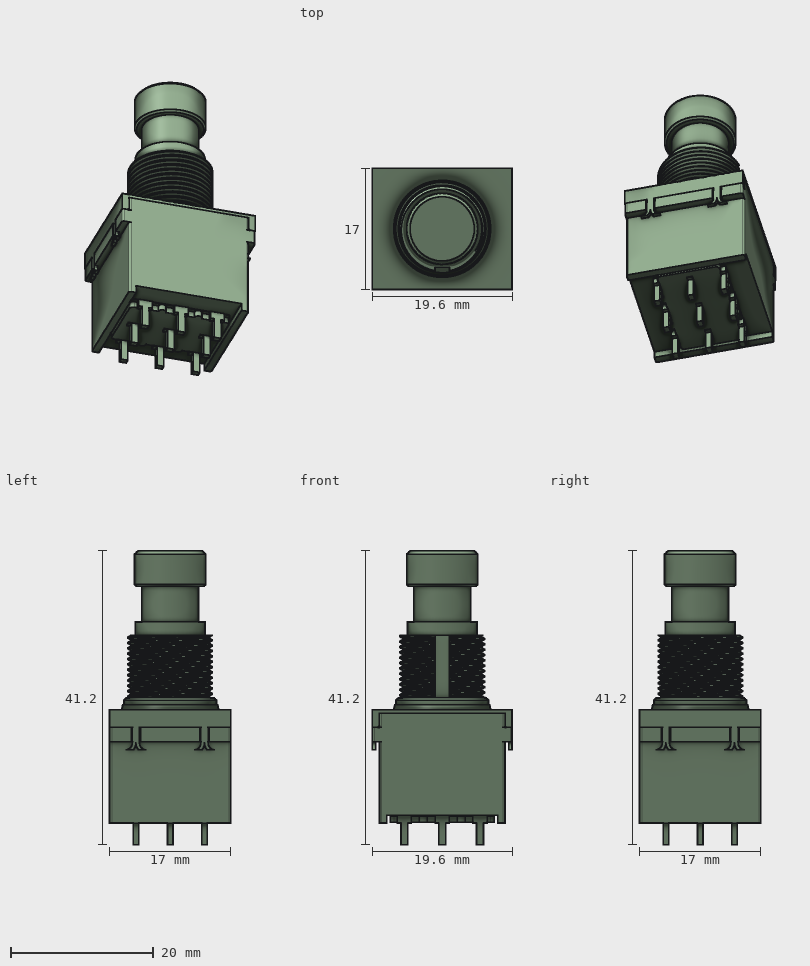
import cadquery as cq
import math


cover_length = 19.6
cover_width = 17.0
plate_thickness = 0.5
flap_thickness = 1.0
flap_bottom = -2.5
flap_relief = 0.2
strap_width = 1.0
strap_thickness = 0.5
strap_y = 4.8
fork_top = -4.65
fork_height = 0.99
prong_outer_radius = 1.0
prong_inner_radius = prong_outer_radius + strap_width / 2

flange_base_diameter = 13.6
flange_taper_diameter = 13.3
flange_diameter = 13.0
flange_top_diameter = 12.28
flange_taper_top = 0.7
flange_straight_top = 1.3
flange_top = 1.65
thread_top = 10.45
thread_diameter = 11.9
thread_root_diameter = 11.1
thread_pitch = 0.75
thread_crest = 0.1
thread_root_width = 0.65
thread_embed = 0.1
keyway_width = 2.0
keyway_floor_y = -5.4
collar_diameter = 9.8
collar_top = 12.3
bore_diameter = 8.15

shaft_diameter = 8.0
cap_diameter = 10.0
cap_bottom = 17.25
cap_top = 22.25
cap_chamfer = 0.5
cap_lower_chamfer = 0.3

base_length = cover_length - 2 * flap_thickness
base_width = cover_width
base_top = -plate_thickness
base_bottom = -15.9
base_corner_radius = 0.3
wing_top = flap_bottom
wing_bottom = -4.5
strap_slot_width = 1.3
notch_length = 15.5
notch_top = -14.8

carrier_length = 14.6
carrier_width = 9.0
carrier_bottom = -15.8
carrier_corner_radius = 0.55
rib_diameter = 1.1
plinth_width = 10.2
plinth_height = 0.1
terminal_pitch_x = 5.3
terminal_pitch_y = 4.8
head_width = 2.0
pin_width = 1.0
pin_thickness = 0.8
pin_bottom = -18.95


def block(length, width, bottom, top, x=0.0, y=0.0):
    """Box centred at (x, y), spanning bottom to top in Z."""
    outline = cq.Workplane("XY").workplane(offset=bottom).center(x, y).rect(length, width)
    return outline.extrude(top - bottom)


def revolve_profile(points):
    """Solid of revolution about Z from (radius, z) points."""
    return cq.Workplane("XZ").polyline(points).close().revolve(360, (0, 0), (0, 1))


def make_thread_ridge():
    """Right-hand helical ridge, overrunning the threaded length by one pitch at each end."""
    root_radius = thread_root_diameter / 2 - thread_embed
    crest_radius = thread_diameter / 2
    start = flange_top - thread_pitch
    height = thread_top - flange_top + 2 * thread_pitch
    profile = [
        (root_radius, -thread_root_width / 2),
        (crest_radius, -thread_crest / 2),
        (crest_radius, thread_crest / 2),
        (root_radius, thread_root_width / 2),
    ]
    helices = [
        cq.Wire.makeHelix(thread_pitch, height, radius, cq.Vector(0, 0, start + offset))
        for radius, offset in profile
    ]
    faces = [
        cq.Face.makeRuledSurface(helix, next_helix)
        for helix, next_helix in zip(helices, helices[1:] + helices[:1])
    ]
    for end in (0, 1):
        corners = [helix.positionAt(end) for helix in helices]
        faces.append(cq.Face.makeFromWires(cq.Wire.makePolygon(corners, close=True)))
    return cq.Workplane(obj=cq.Solid.makeSolid(cq.Shell.makeShell(faces)))


def make_threaded_core():
    """Threaded cylinder trimmed flat at the thread top, its lower end buried in the flange."""
    core_bottom = flange_straight_top
    core = cq.Workplane("XY").workplane(offset=-plate_thickness).circle(thread_root_diameter / 2)
    core = core.extrude(collar_top + plate_thickness).union(make_thread_ridge())
    core = core.intersect(block(cover_length, cover_length, core_bottom, thread_top))
    keyway = block(keyway_width, thread_diameter, flange_top, thread_top,
                   y=keyway_floor_y - thread_diameter / 2)
    return core.cut(keyway)


def make_strap(side, y):
    """Clinch strap under one flap, ending in two prongs that curl apart."""
    half = strap_width / 2
    arc_centre = half + prong_outer_radius
    fork_bottom = fork_top - fork_height
    mid_drop = fork_height / 2

    def on_arc(radius, drop):
        """Point of a prong arc at a given drop below the fork top."""
        return arc_centre - math.sqrt(radius ** 2 - drop ** 2), fork_top - drop

    outer_mid = on_arc(prong_outer_radius, mid_drop)
    outer_end = on_arc(prong_outer_radius, fork_height)
    inner_mid = on_arc(prong_inner_radius, mid_drop)
    inner_end = on_arc(prong_inner_radius, fork_height)
    outline = (
        cq.Workplane("YZ")
        .moveTo(-half, flap_bottom)
        .lineTo(half, flap_bottom)
        .lineTo(half, fork_top)
        .threePointArc(outer_mid, outer_end)
        .lineTo(inner_end[0], fork_bottom)
        .threePointArc(inner_mid, (0, fork_top))
        .threePointArc((-inner_mid[0], inner_mid[1]), (-inner_end[0], fork_bottom))
        .lineTo(-outer_end[0], fork_bottom)
        .threePointArc((-outer_mid[0], outer_mid[1]), (-half, fork_top))
        .close()
    )
    strap_x = side * (cover_length - strap_thickness) / 2
    return outline.extrude(strap_thickness / 2, both=True).translate((strap_x, y, 0))


def make_bushing():
    """Stepped flange and smooth collar around the threaded core."""
    flange_and_collar = revolve_profile([
        (0, -plate_thickness / 2),
        (flange_base_diameter / 2, -plate_thickness / 2),
        (flange_base_diameter / 2, 0),
        (flange_taper_diameter / 2, flange_taper_top),
        (flange_diameter / 2, flange_taper_top),
        (flange_diameter / 2, flange_straight_top),
        (flange_top_diameter / 2, flange_top),
        (collar_diameter / 2, flange_top),
        (collar_diameter / 2, collar_top),
        (0, collar_top),
    ])
    return make_threaded_core().union(flange_and_collar)


def make_cover():
    """Plate with two side flaps and four clinch straps, joined to the bored bushing."""
    cover = block(cover_length, cover_width, flap_bottom, 0)
    channel = block(base_length, cover_width, flap_bottom, -plate_thickness)
    cover = cover.cut(channel)
    inner_lower_edges = cq.selectors.BoxSelector(
        (-base_length / 2 - flap_relief, -cover_width, flap_bottom - flap_relief),
        (base_length / 2 + flap_relief, cover_width, flap_bottom + flap_relief),
    )
    cover = cover.edges(inner_lower_edges).chamfer(flap_relief)
    cover = cover.union(make_bushing())
    for side in (-1, 1):
        for y in (-strap_y, strap_y):
            cover = cover.union(make_strap(side, y))
    bore = cq.Workplane("XY").workplane(offset=-plate_thickness).circle(bore_diameter / 2)
    return cover.cut(bore.extrude(collar_top + plate_thickness))


def make_plunger():
    """Shaft standing on the base, with a chamfered cap on top."""
    shaft_radius = shaft_diameter / 2
    cap_radius = cap_diameter / 2
    return revolve_profile([
        (0, base_top),
        (shaft_radius, base_top),
        (shaft_radius, cap_bottom),
        (cap_radius - cap_lower_chamfer, cap_bottom),
        (cap_radius, cap_bottom + cap_lower_chamfer),
        (cap_radius, cap_top - cap_chamfer),
        (cap_radius - cap_chamfer, cap_top),
        (0, cap_top),
    ])


def make_base_shell():
    """Block with side wings under the flaps, strap slots, and a notch between the bottom feet."""
    body = block(base_length, base_width, base_bottom, base_top)
    body = body.edges("|Z").fillet(base_corner_radius)
    wings = block(cover_length, base_width, wing_bottom, wing_top)
    body = body.union(wings.edges("|Z").fillet(base_corner_radius))
    for side in (-1, 1):
        slot_x = side * (cover_length - strap_thickness) / 2
        for y in (-strap_y, strap_y):
            body = body.cut(block(strap_thickness, strap_slot_width, wing_bottom, wing_top, slot_x, y))
    return body.cut(block(notch_length, base_width, base_bottom, notch_top))


def make_carrier():
    """Rounded plate on a thin plinth under the base, with half-round ribs between the terminals."""
    carrier = block(carrier_length, carrier_width, carrier_bottom, notch_top)
    carrier = carrier.edges("|Z").fillet(carrier_corner_radius)
    plinth = block(carrier_length, plinth_width, notch_top - plinth_height, notch_top)
    carrier = carrier.union(plinth.edges("|Z").fillet(carrier_corner_radius))
    rib_places = [
        (x_side * terminal_pitch_x / 2, y_side * carrier_width / 2)
        for x_side in (-1, 1)
        for y_side in (-1, 1)
    ]
    ribs = cq.Workplane("XY").workplane(offset=carrier_bottom).pushPoints(rib_places)
    return carrier.union(ribs.circle(rib_diameter / 2).extrude(notch_top - carrier_bottom))


def make_terminal(x, y):
    """Terminal with a wide head at the base and a narrower pin below it."""
    head = block(head_width, pin_thickness, base_bottom, notch_top, x, y)
    return head.union(block(pin_width, pin_thickness, pin_bottom, base_bottom, x, y))


def make_base():
    """Base block with its carrier and a three by three grid of terminals."""
    base = make_base_shell().union(make_carrier())
    for column in (-1, 0, 1):
        for row in (-1, 0, 1):
            base = base.union(make_terminal(column * terminal_pitch_x, row * terminal_pitch_y))
    return base


base = make_base()
cover = make_cover()
plunger = make_plunger()

result = cq.Compound.makeCompound([*base.solids().vals(), *cover.solids().vals(), *plunger.solids().vals()])